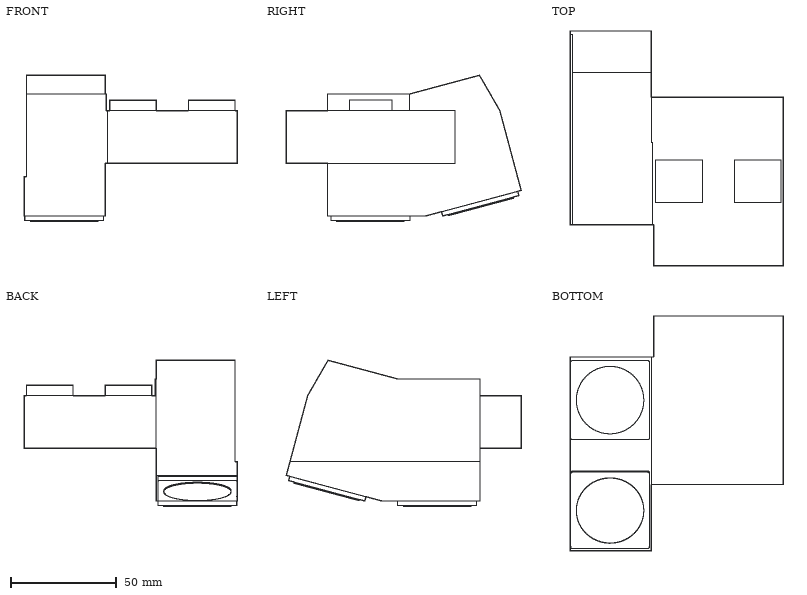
import cadquery as cq
import math

body_left = 1.0
body_right = 38.5
block_height = 57.9
block_length = 46.54
tilt_angle = 15.0
tilt_length = 47.0
rear_face_height = 39.2
rear_bevel_depth = 5.0

shell_left = 0.0
shell_height = 18.7

foot_left = 0.15
foot_side = 37.5
foot_thickness = 2.1
foot_corner_radius = 1.0
foot_margin = 1.7
disc_diameter = 32.0
disc_thickness = 0.5

box_left = 39.5
box_right = 101.0
box_length = 80.0
box_front = -19.5
box_bottom = 25.0
box_height = 25.0
cheek_right = 39.0

pad_width = 22.2
pad_length = 20.0
pad_height = 5.0
pad_end_gap = 1.0
pad_front = 10.6

tilt = math.radians(tilt_angle)
roof_bend = block_length - block_height * math.tan(tilt / 2)
box_top = box_bottom + box_height


def tilted(along, height):
    """(Y, Z) of a point given along and square to the underside of the bent section."""
    y = block_length + along * math.cos(tilt) - height * math.sin(tilt)
    z = along * math.sin(tilt) + height * math.cos(tilt)
    return (y, z)


def slab(x_min, x_max, y_min, y_max, z_min, z_max):
    """Axis-aligned box between the given limits."""
    return cq.Workplane("XY").box(
        x_max - x_min, y_max - y_min, z_max - z_min, centered=False
    ).translate((x_min, y_min, z_min))


def extruded_profile(x_min, x_max):
    """Bent side outline of the housing, extruded between two X positions."""
    outline = [
        (0, 0),
        (block_length, 0),
        tilted(tilt_length, 0),
        tilted(tilt_length, rear_face_height),
        tilted(tilt_length - rear_bevel_depth, block_height),
        (roof_bend, block_height),
        (0, block_height),
    ]
    return cq.Workplane("YZ").workplane(offset=x_min).polyline(outline).close().extrude(x_max - x_min)


def housing():
    """Bent housing with its wider lower shell."""
    main = extruded_profile(body_left, body_right)
    rear_limit = tilted(tilt_length, 0)[0]
    shell_zone = slab(shell_left, body_left, 0, rear_limit, 0, shell_height)
    shell = extruded_profile(shell_left, body_left).intersect(shell_zone)
    return main.union(shell)


def foot(center_y):
    """Foot with rounded corners and a round disc, hanging below Z = 0."""
    center = (foot_left + foot_side / 2, center_y)
    plate = (
        cq.Workplane("XY")
        .center(*center)
        .rect(foot_side, foot_side)
        .extrude(-foot_thickness)
        .edges("|Z")
        .fillet(foot_corner_radius)
    )
    disc = (
        cq.Workplane("XY")
        .workplane(offset=-foot_thickness)
        .center(*center)
        .circle(disc_diameter / 2)
        .extrude(-disc_thickness)
    )
    return plate.union(disc)


def feet():
    """One foot under the block, one tilted with the bent section."""
    front_foot = foot(foot_margin + foot_side / 2)
    rear_foot = foot(block_length + tilt_length - foot_margin - foot_side / 2)
    rear_foot = rear_foot.rotate((0, block_length, 0), (1, block_length, 0), tilt_angle)
    return front_foot.union(rear_foot)


def side_box():
    """Side box with two raised pads, with the bridge and cheek that join it to the housing."""
    box_rear = box_front + box_length
    solid = slab(box_left, box_right, box_front, box_rear, box_bottom, box_top)
    bridge = slab(body_right, box_left, 0, box_rear, box_bottom, box_top)
    cheek = slab(body_right, cheek_right, 0, roof_bend, box_bottom, block_height)
    solid = solid.union(bridge).union(cheek)
    for pad_left in (box_left + pad_end_gap, box_right - pad_end_gap - pad_width):
        pad = slab(pad_left, pad_left + pad_width, pad_front, pad_front + pad_length,
                   box_top, box_top + pad_height)
        solid = solid.union(pad)
    return solid


result = housing().union(side_box()).union(feet())